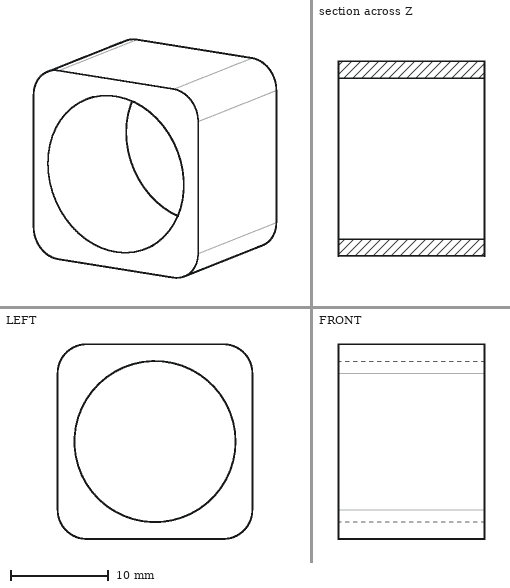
import cadquery as cq

side = 20.0
length = 15.0
corner_radius = 3.0
bore_diameter = 16.5

block = cq.Workplane("YZ").rect(side, side).extrude(length / 2, both=True)
rounded_block = block.edges("|X").fillet(corner_radius)

result = rounded_block.faces(">X").workplane(centerOption="CenterOfBoundBox").hole(bore_diameter)